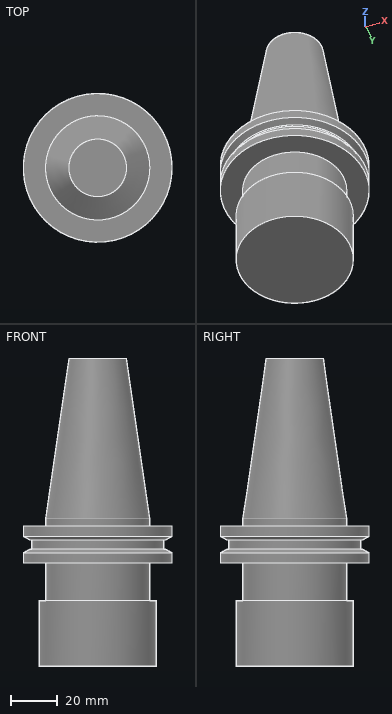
import cadquery as cq
import math

nut_diameter = 50.0
nut_height = 28.0

gauge_diameter = 44.45
taper_ratio = 7.0 / 24.0
taper_length = 68.25
gauge_plane_z = 63.0
taper_top_z = gauge_plane_z + taper_length
taper_top_diameter = gauge_diameter - taper_ratio * taper_length

neck_diameter = gauge_diameter

flange_diameter = 63.5
flange_top_offset = 3.18
flange_bottom_offset = 19.05
flange_top_z = gauge_plane_z - flange_top_offset
flange_bottom_z = gauge_plane_z - flange_bottom_offset

groove_center_offset = 11.13
groove_center_z = gauge_plane_z - groove_center_offset
groove_mouth_width = 7.05
groove_floor_width = 3.85
groove_floor_diameter = 56.36
groove_flank_angle = 30.0
groove_flank_depth = (groove_mouth_width - groove_floor_width) / 2 / math.tan(math.radians(groove_flank_angle))


def make_nut():
    """Plain cylindrical nut standing on the base plane."""
    return cq.Workplane("XY").circle(nut_diameter / 2).extrude(nut_height)


def make_holder():
    """Neck, grooved flange and taper as one revolved body above the nut."""
    neck_radius = neck_diameter / 2
    flange_radius = flange_diameter / 2
    flank_radius = flange_radius - groove_flank_depth
    floor_radius = groove_floor_diameter / 2
    half_mouth = groove_mouth_width / 2
    half_floor = groove_floor_width / 2

    profile = [
        (0, nut_height),
        (neck_radius, nut_height),
        (neck_radius, flange_bottom_z),
        (flange_radius, flange_bottom_z),
        (flange_radius, groove_center_z - half_mouth),
        (flank_radius, groove_center_z - half_floor),
        (floor_radius, groove_center_z - half_floor),
        (floor_radius, groove_center_z + half_floor),
        (flank_radius, groove_center_z + half_floor),
        (flange_radius, groove_center_z + half_mouth),
        (flange_radius, flange_top_z),
        (neck_radius, flange_top_z),
        (neck_radius, gauge_plane_z),
        (taper_top_diameter / 2, taper_top_z),
        (0, taper_top_z),
    ]
    return cq.Workplane("XZ").polyline(profile).close().revolve(360, (0, 0, 0), (0, 1, 0))


nut = make_nut()
holder = make_holder()

result = cq.Compound.makeCompound([nut.val(), holder.val()])